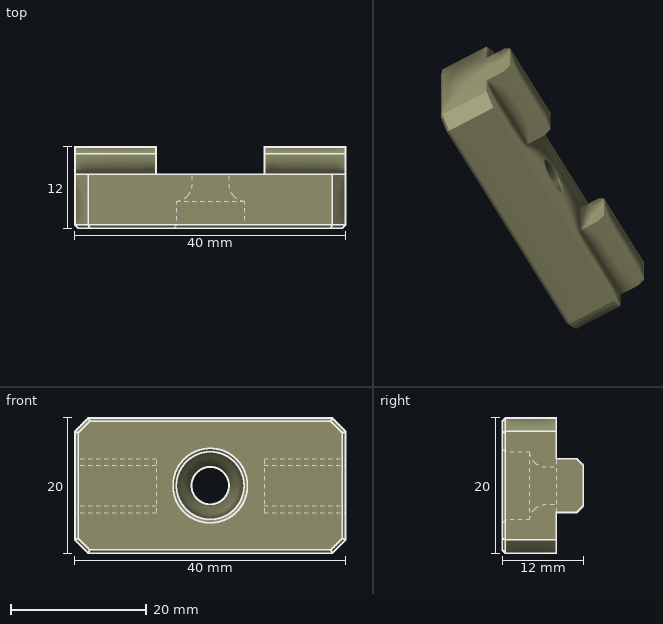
import cadquery as cq
import math

plate_length = 40.0
plate_height = 20.0
plate_thickness = 8.0
corner_chamfer = 2.0
front_edge_chamfer = 0.5

tongue_height = 8.0
tongue_projection = 4.0
tongue_gap = 16.0
tongue_chamfer = 1.0
tongue_length = (plate_length - tongue_gap) / 2

bore_diameter = 5.5
counterbore_diameter = 10.0
counterbore_depth = 4.0
counterbore_chamfer = 0.5
throat_radius = 2.5


def make_plate():
    """Rectangular plate with cut corners and a chamfered front rim."""
    plate = cq.Workplane("XY").box(
        plate_length, plate_thickness, plate_height, centered=(True, False, True)
    )
    plate = plate.edges("|Y").chamfer(corner_chamfer)
    return plate.faces("<Y").edges().chamfer(front_edge_chamfer)


def make_tongue(side):
    """Tongue at one end of the plate; side is -1 for -X and +1 for +X."""
    center_x = side * (tongue_gap + tongue_length) / 2
    tongue = (
        cq.Workplane("XY")
        .box(tongue_length, tongue_projection, tongue_height, centered=(True, False, True))
        .translate((center_x, plate_thickness, 0))
    )
    return tongue.faces(">Y").edges("|X").chamfer(tongue_chamfer)


def make_screw_hole():
    """Revolved cutter: counterbore narrowing into the bore along a convex arc."""
    bore_radius = bore_diameter / 2
    counterbore_radius = counterbore_diameter / 2
    mouth_radius = counterbore_radius + counterbore_chamfer
    arc_center_radius = bore_radius + throat_radius
    start_angle = math.acos((arc_center_radius - counterbore_radius) / throat_radius)
    throat_length = throat_radius * math.sin(start_angle)
    throat_end = counterbore_depth + throat_length
    arc_middle = (
        arc_center_radius - throat_radius * math.cos(start_angle / 2),
        throat_end - throat_radius * math.sin(start_angle / 2),
    )
    profile = (
        cq.Workplane("XY")
        .moveTo(0, 0)
        .lineTo(mouth_radius, 0)
        .lineTo(counterbore_radius, counterbore_chamfer)
        .lineTo(counterbore_radius, counterbore_depth)
        .threePointArc(arc_middle, (bore_radius, throat_end))
        .lineTo(bore_radius, plate_thickness)
        .lineTo(0, plate_thickness)
        .close()
    )
    return profile.revolve(360, (0, 0, 0), (0, 1, 0))


result = make_plate()
for end in (-1, 1):
    result = result.union(make_tongue(end))
result = result.cut(make_screw_hole())